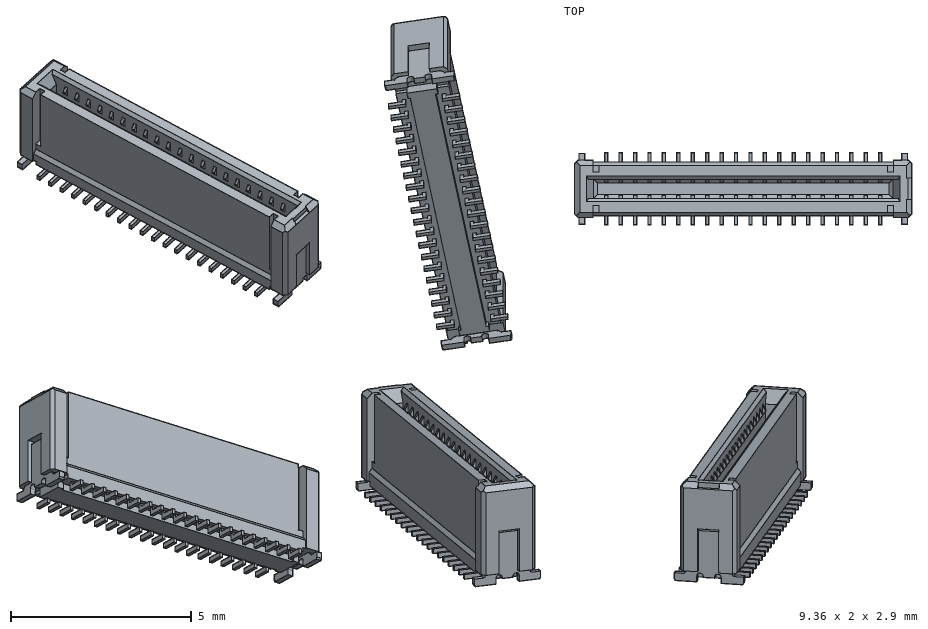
import cadquery as cq
LENGTH = 9.36
FOOT_SPAN = 2.0
HEIGHT = 2.9

END_WIDTH = 1.6
END_BOTTOM = 0.34
END_INNER_X = 4.165
TOP_CHAMFER = 0.15
CORNER_CHAMFER = 0.1
WALL_WIDTH = END_WIDTH - 2 * TOP_CHAMFER
SKIRT_WIDTH = 1.5
SKIRT_HALF_LENGTH = 4.08
SKIRT_BOTTOM = 0.22
SKIRT_TOP = 0.59
LEDGE_TOP = 0.7

GROOVE_INNER_X = 4.0
GROOVE_BOTTOM = 0.9
GROOVE_HALF_SPAN = 0.47

CAVITY_HALF_LENGTH = 4.34
CAVITY_HALF_WIDTH = 0.36
LEAD_IN = 0.09
END_SLOPE_RUN = 0.2
END_SLOPE_DROP = 0.39
FLOOR_Z = 0.47
FLOOR_CHAMFER = 0.1
THROAT_HALF_WIDTH = CAVITY_HALF_WIDTH - LEAD_IN
THROAT_HALF_LENGTH = CAVITY_HALF_LENGTH - END_SLOPE_RUN

KEY_OUTER_X = 4.57
KEY_WIDTH = 0.6

BASE_BOTTOM = 0.03
BASE_HALF_LENGTH = 4.18
BASE_END_WIDTH = 0.84
BASE_WIDTH = 0.71

CONTACTS_PER_ROW = 20
CONTACT_ROW_LENGTH = 7.6
PITCH = CONTACT_ROW_LENGTH / (CONTACTS_PER_ROW - 1)
CONTACT_WIDTH = 0.09
CONTACT_FOOT_HEIGHT = 0.14
RISER_INNER_Y = 0.515
RISER_OUTER_Y = 0.62
BUMP_TOP = 2.6
BUMP_BOTTOM = 2.3
BUMP_SLOPE_DROP = 0.15
BUMP_SLOPE_RISE = 0.1
BUMP_TIP_Y = 0.18

PLATE_OUTER_X = 4.56
PLATE_THICKNESS = 0.17
PLATE_TOE_Y = 0.98
PLATE_FOOT_HEIGHT = 0.22
PLATE_SHOULDER_Y = 0.6
TAB_WIDTH = 0.6
TAB_TOP = 1.5
RECESS_TOP = 1.58
ARCH_INNER_Y = 0.16
ARCH_RADIUS = 0.09
ARCH_SPRING_Z = 0.17
WEB_BOTTOM = 0.14
TOE_BEVEL_HEIGHT = 0.06
TOE_BEVEL_RUN = 0.026


def block(half_x, half_y, z0, z1):
    """Box centred on the Z axis between two heights."""
    height = z1 - z0
    return cq.Workplane("XY").box(2 * half_x, 2 * half_y, height).translate((0, 0, z0 + height / 2))


def box_between(x0, x1, y0, y1, z0, z1):
    size = (x1 - x0, y1 - y0, z1 - z0)
    return cq.Workplane("XY").box(*size, centered=False).translate((x0, y0, z0))


def prism_along_x(points, x0, x1):
    """Extrude a closed (y, z) outline from x0 to x1."""
    return cq.Workplane("YZ").polyline(points).close().extrude(x1 - x0).translate((x0, 0, 0))


def make_housing():
    ends = block(LENGTH / 2, END_WIDTH / 2, END_BOTTOM, HEIGHT).faces(">Z").chamfer(TOP_CHAMFER)
    cut_corners = block(LENGTH / 2, END_WIDTH / 2, END_BOTTOM, HEIGHT).edges("|Z").chamfer(CORNER_CHAMFER)
    ends = ends.intersect(cut_corners)
    ends = ends.cut(block(END_INNER_X, END_WIDTH, 0, HEIGHT))

    wall_y = WALL_WIDTH / 2
    skirt_y = SKIRT_WIDTH / 2
    walls = prism_along_x(
        [
            (-skirt_y, END_BOTTOM), (skirt_y, END_BOTTOM), (skirt_y, SKIRT_TOP),
            (wall_y, LEDGE_TOP), (wall_y, HEIGHT), (-wall_y, HEIGHT),
            (-wall_y, LEDGE_TOP), (-skirt_y, SKIRT_TOP),
        ],
        -END_INNER_X, END_INNER_X,
    )
    skirt = block(SKIRT_HALF_LENGTH, skirt_y, SKIRT_BOTTOM, END_BOTTOM)
    base_ends = block(BASE_HALF_LENGTH, BASE_END_WIDTH / 2, BASE_BOTTOM, END_BOTTOM)
    base_ends = base_ends.cut(block(GROOVE_INNER_X, BASE_END_WIDTH, 0, END_BOTTOM))
    base = block(GROOVE_INNER_X, BASE_WIDTH / 2, BASE_BOTTOM, END_BOTTOM)
    return ends.union(walls).union(skirt).union(base_ends).union(base)


def make_cavity():
    slope_end_z = HEIGHT - END_SLOPE_DROP
    length_outline = [
        (-THROAT_HALF_LENGTH, FLOOR_Z), (THROAT_HALF_LENGTH, FLOOR_Z),
        (THROAT_HALF_LENGTH, slope_end_z), (CAVITY_HALF_LENGTH, HEIGHT),
        (-CAVITY_HALF_LENGTH, HEIGHT), (-THROAT_HALF_LENGTH, slope_end_z),
    ]
    lengthwise = cq.Workplane("XZ").polyline(length_outline).close().extrude(CAVITY_HALF_WIDTH, both=True)
    lead_in_z = HEIGHT - LEAD_IN
    crosswise = prism_along_x(
        [
            (-THROAT_HALF_WIDTH, FLOOR_Z), (THROAT_HALF_WIDTH, FLOOR_Z),
            (THROAT_HALF_WIDTH, lead_in_z), (CAVITY_HALF_WIDTH, HEIGHT),
            (-CAVITY_HALF_WIDTH, HEIGHT), (-THROAT_HALF_WIDTH, lead_in_z),
        ],
        -CAVITY_HALF_LENGTH, CAVITY_HALF_LENGTH,
    )
    return lengthwise.intersect(crosswise).faces("<Z").chamfer(FLOOR_CHAMFER)


def make_grooves():
    grooves = cq.Workplane("XY")
    for side_x in (-1, 1):
        for side_y in (-1, 1):
            x0, x1 = sorted((side_x * GROOVE_INNER_X, side_x * END_INNER_X))
            y0, y1 = sorted((side_y * GROOVE_HALF_SPAN, side_y * WALL_WIDTH / 2))
            grooves = grooves.add(box_between(x0, x1, y0, y1, GROOVE_BOTTOM, HEIGHT))
    return grooves.combine()


def make_contact(x, side):
    """Foot, riser and spring bump of one contact; side is -1 or 1 along Y."""
    x0 = x - CONTACT_WIDTH / 2
    x1 = x + CONTACT_WIDTH / 2
    foot = [
        (side * FOOT_SPAN / 2, 0), (side * FOOT_SPAN / 2, CONTACT_FOOT_HEIGHT),
        (side * RISER_OUTER_Y, CONTACT_FOOT_HEIGHT), (side * RISER_OUTER_Y, END_BOTTOM),
        (side * RISER_INNER_Y, END_BOTTOM), (side * RISER_INNER_Y, 0),
    ]
    bump = [
        (side * THROAT_HALF_WIDTH, BUMP_TOP),
        (side * BUMP_TIP_Y, BUMP_TOP - BUMP_SLOPE_DROP),
        (side * BUMP_TIP_Y, BUMP_BOTTOM + BUMP_SLOPE_RISE),
        (side * THROAT_HALF_WIDTH, BUMP_BOTTOM),
    ]
    return prism_along_x(foot, x0, x1), prism_along_x(bump, x0, x1)


def make_plate():
    """Hold-down plate at the -X end."""
    tab_y = TAB_WIDTH / 2
    arch_outer_y = ARCH_INNER_Y + 2 * ARCH_RADIUS
    arch_mid_y = ARCH_INNER_Y + ARCH_RADIUS
    arch_top = ARCH_SPRING_Z + ARCH_RADIUS
    shoulder_foot_y = PLATE_SHOULDER_Y + END_BOTTOM - PLATE_FOOT_HEIGHT
    half = (
        cq.Workplane("YZ")
        .moveTo(0, TAB_TOP)
        .lineTo(tab_y, TAB_TOP)
        .lineTo(tab_y, END_BOTTOM)
        .lineTo(PLATE_SHOULDER_Y, END_BOTTOM)
        .lineTo(shoulder_foot_y, PLATE_FOOT_HEIGHT)
        .lineTo(PLATE_TOE_Y, PLATE_FOOT_HEIGHT)
        .lineTo(PLATE_TOE_Y, TOE_BEVEL_HEIGHT)
        .lineTo(PLATE_TOE_Y - TOE_BEVEL_RUN, 0)
        .lineTo(arch_outer_y, 0)
        .lineTo(arch_outer_y, ARCH_SPRING_Z)
        .threePointArc((arch_mid_y, arch_top), (ARCH_INNER_Y, ARCH_SPRING_Z))
        .lineTo(ARCH_INNER_Y, WEB_BOTTOM)
        .lineTo(0, WEB_BOTTOM)
        .close()
        .extrude(PLATE_THICKNESS)
        .translate((-PLATE_OUTER_X, 0, 0))
    )
    return half.union(half.mirror("XZ"))


def cut_recesses(housing):
    """Pocket for the hold-down plate in each end."""
    half_tab = TAB_WIDTH / 2
    back_x = PLATE_OUTER_X - PLATE_THICKNESS
    recess = box_between(back_x, LENGTH / 2, -half_tab, half_tab, END_BOTTOM, RECESS_TOP)
    return housing.cut(recess).cut(recess.mirror("YZ"))


def add_key(housing):
    """Flat-topped pad and the step outside it that mark the +X end."""
    step_z = HEIGHT - TOP_CHAMFER
    half_y = KEY_WIDTH / 2
    pad = box_between(CAVITY_HALF_LENGTH, KEY_OUTER_X, -half_y, half_y, step_z, HEIGHT)
    step = box_between(KEY_OUTER_X, LENGTH / 2, -half_y, half_y, step_z, HEIGHT)
    return housing.cut(step).union(pad)


housing = make_housing().cut(make_cavity()).cut(make_grooves())
housing = add_key(cut_recesses(housing))

plate = make_plate()
result = housing.union(plate).union(plate.mirror("YZ"))
for index in range(CONTACTS_PER_ROW):
    contact_x = (index - (CONTACTS_PER_ROW - 1) / 2) * PITCH
    for row_side in (-1, 1):
        foot, bump = make_contact(contact_x, row_side)
        result = result.union(foot).union(bump)